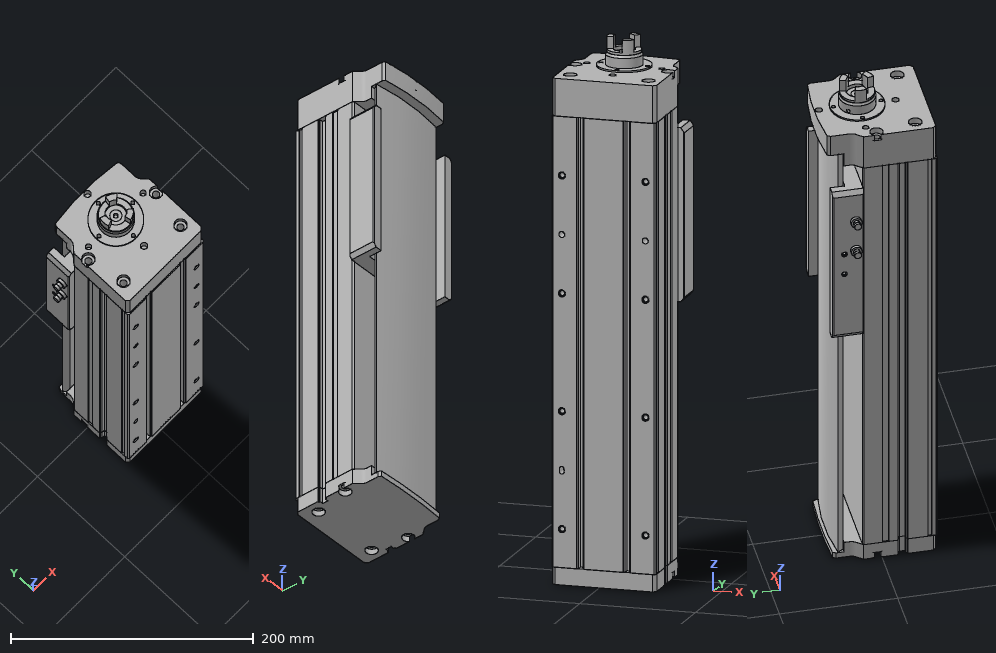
import cadquery as cq
import math


end_cap_height = 15.0
profile_top = 399.0
drive_cap_top = 431.0
strip_bottom = 5.5
strip_top = 411.0

body_width = 90.0
half_width = body_width / 2
profile_depth = 63.5
profile_chamfer = 1.5
side_slot_y = 29.0
bottom_slot_x = 20.0
side_groove_y = (43.8, 6.5)
side_groove_widths = (5.5, 3.0)
side_groove_depth = 1.5
mount_pitch = 50.0
mount_first_z = 48.0
mount_x = 36.0
mount_depth = 11.5
mount_steps = (0, 2, 4, 6)
dowel_step = 5
dowel_slot_step = 1
dowel_diameter = 5.0

cap_back = 1.0
cap_chamfer = 2.7
neck_half_width = 38.5
neck_start_y = 72.5
neck_bevel_x = 1.5
neck_bevel_y = 2.7
shoulder_foot_y = 62.5
shoulder_x = 41.0
shoulder_y = 67.0
shoulder_curve_x = 39.0
shoulder_curve_y = 69.5
strip_seat_y = 77.5
drive_cap_edge_y = 91.5
drive_cap_crown_y = 94.5
end_cap_edge_y = 87.0
end_cap_crown_y = 88.5
screw_head_diameter = 11.0
screw_head_depth = 5.5
screw_diameter = 6.0
screw_places = [(-40.0, 50.5), (40.0, 50.5), (-33.7, 16.5), (33.7, 16.5)]

axis_y = 58.0
flange_diameter = 46.0
flange_height = 1.5
flange_hole_diameter = 3.25
flange_hole_radius = 20.0
cap_hole_radius = 32.5
cap_hole_depth = 9.0
upright_hole_diameter = 6.0
level_hole_diameter = 5.0

hub_bottom = drive_cap_top + flange_height
hub_radius = 15.5
hub_neck_radius = 14.0
hub_shoulder_z = 441.0
hub_cone_top = 443.0
hub_top = 445.5
hub_recess_radius = 9.0
hub_recess_floor = 442.0
jaw_top = 456.0
jaw_outer_radius = 14.5
jaw_half_angle = 20
gap_directions = (0, 120, 240)
clamp_hole_diameter = 2.45
clamp_hole_y = axis_y + 10.0
clamp_hole_z = 434.5
clamp_hole_depth = 7.0
shaft_diameter = 10.0
shaft_center_diameter = 4.0
shaft_center_depth = 4.5

strip_half_width = 38.0
strip_bevel = 3.5
strip_base_y = strip_seat_y
strip_edge_y = 82.5
strip_crown_y = 85.5

carriage_half_width = 50.0
carriage_top_y = 90.0
carriage_bottom = 232.0
carriage_top = 380.0
carriage_floor_y = strip_seat_y
carriage_channel_half_width = 40.5
carriage_edge_chamfer = 1.0
carriage_end_bevel_x = 3.0
carriage_end_bevel_z = 4.0
nipple_y = 70.0
nipple_heights = (320.5, 349.5)
nipple_collar_diameter = 9.0
nipple_collar_length = 2.7
nipple_tip_diameter = 6.0
nipple_tip_length = 2.7
nipple_neck_diameter = 5.5
nipple_end = 58.5
carriage_hole_y = 80.0
carriage_hole_heights = (297.2, 317.5)
carriage_hole_diameter = 2.45
carriage_hole_depth = 7.0
carriage_hole_mouth_diameter = 4.5
carriage_hole_mouth_depth = 1.5


def block(x0, x1, y0, y1, z0, z1):
    """Axis-aligned box between two opposite corners."""
    return cq.Workplane("XY").box(x1 - x0, y1 - y0, z1 - z0, centered=False).translate((x0, y0, z0))


def upright(x, y, z, diameter, height):
    """Cylinder rising along +Z from the given point."""
    return cq.Workplane("XY", origin=(x, y, z)).circle(diameter / 2).extrude(height)


def inward(x, z, diameter, depth):
    """Cylinder running from the mounting face into the part along +Y."""
    return cq.Workplane("XZ", origin=(x, 0, z)).circle(diameter / 2).extrude(-depth)


def from_left(x, y, z, diameter, length):
    """Cylinder running along +X from the given point."""
    return cq.Workplane("YZ", origin=(x, y, z)).circle(diameter / 2).extrude(length)


def side_slot(side, z0, z1):
    """Stepped fixing slot in one side face: wide shallow mouth, narrow deep channel."""
    mouth_half, mouth_depth = 4.0, 1.5
    channel_half, channel_depth = 2.7, 4.5
    mouth_x = sorted((side * half_width, side * (half_width - mouth_depth)))
    channel_x = sorted((side * half_width, side * (half_width - channel_depth)))
    mouth = block(*mouth_x, side_slot_y - mouth_half, side_slot_y + mouth_half, z0, z1)
    channel = block(*channel_x, side_slot_y - channel_half, side_slot_y + channel_half, z0, z1)
    return mouth.union(channel)


def bottom_slot(x):
    """Stepped fixing slot in the mounting face."""
    mouth_half, mouth_depth = 3.0, 1.5
    channel_half, channel_depth = 2.0, 7.0
    mouth = block(x - mouth_half, x + mouth_half, 0, mouth_depth, end_cap_height, profile_top)
    channel = block(x - channel_half, x + channel_half, 0, channel_depth, end_cap_height, profile_top)
    return mouth.union(channel)


def mounting_hole(x, z):
    """Counterbored fixing hole in the mounting face."""
    mouth_diameter, mouth_depth, hole_diameter = 6.0, 2.0, 4.15
    return inward(x, z, mouth_diameter, mouth_depth).union(inward(x, z, hole_diameter, mount_depth))


def make_profile():
    body = block(-half_width, half_width, 0, profile_depth, end_cap_height, profile_top)
    body = body.edges("|Z").chamfer(profile_chamfer)
    for side in (-1, 1):
        body = body.cut(side_slot(side, end_cap_height, profile_top))
        body = body.cut(bottom_slot(side * bottom_slot_x))
        for y, width in zip(side_groove_y, side_groove_widths):
            x0, x1 = sorted((side * half_width, side * (half_width - side_groove_depth)))
            body = body.cut(block(x0, x1, y - width / 2, y + width / 2, end_cap_height, profile_top))
        for step in mount_steps:
            body = body.cut(mounting_hole(side * mount_x, mount_first_z + step * mount_pitch))
        dowel_z = mount_first_z + dowel_step * mount_pitch
        body = body.cut(inward(side * mount_x, dowel_z, dowel_diameter, mount_depth))
    slot_length, slot_width = 6.5, 4.15
    slot_z = mount_first_z + dowel_slot_step * mount_pitch
    slot = cq.Workplane("XZ", origin=(-mount_x, 0, slot_z)).slot2D(slot_length, slot_width, 90)
    return body.cut(slot.extrude(-mount_depth))


def cap_blank(z0, z1, edge_y, crown_y):
    """End cap section: chamfered rectangle, curved shoulders, and an arched neck towards +Y."""
    crown_x = neck_half_width - neck_bevel_x
    side_y = edge_y - neck_bevel_y
    section = (
        cq.Workplane("XY", origin=(0, 0, z0))
        .moveTo(-half_width + cap_chamfer, cap_back)
        .lineTo(half_width - cap_chamfer, cap_back)
        .lineTo(half_width, cap_back + cap_chamfer)
        .lineTo(half_width, shoulder_foot_y)
        .lineTo(shoulder_x, shoulder_y)
        .threePointArc((shoulder_curve_x, shoulder_curve_y), (neck_half_width, neck_start_y))
        .lineTo(neck_half_width, side_y)
        .lineTo(crown_x, edge_y)
        .threePointArc((0, crown_y), (-crown_x, edge_y))
        .lineTo(-neck_half_width, side_y)
        .lineTo(-neck_half_width, neck_start_y)
        .threePointArc((-shoulder_curve_x, shoulder_curve_y), (-shoulder_x, shoulder_y))
        .lineTo(-half_width, shoulder_foot_y)
        .lineTo(-half_width, cap_back + cap_chamfer)
        .close()
    )
    return section.extrude(z1 - z0)


def strip_seat(z0, z1):
    """Clearance that lets the cover strip end inside a cap."""
    return block(-half_width, half_width, strip_seat_y, drive_cap_crown_y, z0, z1)


def make_end_cap():
    cap = cap_blank(0, end_cap_height, end_cap_edge_y, end_cap_crown_y)
    cap = cap.cut(strip_seat(strip_bottom, end_cap_height))
    for side in (-1, 1):
        cap = cap.cut(side_slot(side, 0, end_cap_height))
    for x, y in screw_places:
        cap = cap.cut(upright(x, y, 0, screw_head_diameter, screw_head_depth))
        cap = cap.cut(upright(x, y, 0, screw_diameter, end_cap_height))
    return cap


def make_drive_cap():
    cap = cap_blank(profile_top, drive_cap_top, drive_cap_edge_y, drive_cap_crown_y)
    cap = cap.cut(strip_seat(profile_top, strip_top))
    cap = cap.union(upright(0, axis_y, drive_cap_top, flange_diameter, flange_height))
    cap_height = drive_cap_top - profile_top
    for x, y in screw_places:
        cap = cap.cut(upright(x, y, drive_cap_top - screw_head_depth, screw_head_diameter, screw_head_depth))
        cap = cap.cut(upright(x, y, profile_top, screw_diameter, cap_height))
    for quarter in range(4):
        angle = math.radians(90 * quarter)
        dx, dy = math.cos(angle), math.sin(angle)
        diameter = upright_hole_diameter if quarter % 2 else level_hole_diameter
        outer_place = (cap_hole_radius * dx, axis_y + cap_hole_radius * dy)
        cap = cap.cut(upright(*outer_place, drive_cap_top - cap_hole_depth, diameter, cap_hole_depth))
        flange_place = (flange_hole_radius * dx, axis_y + flange_hole_radius * dy)
        flange_floor = hub_bottom - cap_hole_depth
        cap = cap.cut(upright(*flange_place, flange_floor, flange_hole_diameter, cap_hole_depth))
    return cap.cut(upright(0, axis_y, profile_top, shaft_diameter, hub_bottom - profile_top))


def make_shaft():
    """Drive journal from the profile end up to the recess of the coupling, with a centre hole in its end."""
    shaft = upright(0, axis_y, profile_top, shaft_diameter, hub_recess_floor - profile_top)
    center_z = hub_recess_floor - shaft_center_depth
    return shaft.cut(upright(0, axis_y, center_z, shaft_center_diameter, shaft_center_depth))


def jaw_gap(direction):
    """Wedge with its apex on the axis that clears the space between two jaws."""
    half_angle = 180 / len(gap_directions) - jaw_half_angle
    reach = 2 * jaw_outer_radius
    corners = [(0, 0)]
    for offset in (-half_angle, half_angle):
        angle = math.radians(direction + offset)
        corners.append((reach * math.cos(angle), reach * math.sin(angle)))
    wedge = cq.Workplane("XY", origin=(0, axis_y, hub_top)).polyline(corners).close()
    return wedge.extrude(jaw_top - hub_top)


def make_coupling():
    bore_radius = shaft_diameter / 2
    half_section = [
        (bore_radius, hub_bottom),
        (hub_radius, hub_bottom),
        (hub_radius, hub_shoulder_z),
        (hub_neck_radius, hub_cone_top),
        (jaw_outer_radius, hub_cone_top),
        (jaw_outer_radius, jaw_top),
        (hub_recess_radius, jaw_top),
        (hub_recess_radius, hub_recess_floor),
        (bore_radius, hub_recess_floor),
    ]
    hub = cq.Workplane("XZ").polyline(half_section).close().revolve(360, (0, 0, 0), (0, 1, 0))
    hub = hub.translate((0, axis_y, 0))
    for direction in gap_directions:
        hub = hub.cut(jaw_gap(direction))
    clamp_hole = from_left(-hub_radius, clamp_hole_y, clamp_hole_z, clamp_hole_diameter, clamp_hole_depth)
    return hub.cut(clamp_hole)


def make_strip():
    """Cover strip with undercut long edges and a gently arched outer face."""
    base_x = strip_half_width - strip_bevel
    section = (
        cq.Workplane("XY", origin=(0, 0, strip_bottom))
        .moveTo(-base_x, strip_base_y)
        .lineTo(base_x, strip_base_y)
        .lineTo(strip_half_width, strip_edge_y)
        .threePointArc((0, strip_crown_y), (-strip_half_width, strip_edge_y))
        .close()
    )
    return section.extrude(strip_top - strip_bottom)


def lubrication_nipple(z):
    """Stepped nipple standing out of the -X wing."""
    collar_x = -carriage_half_width - nipple_collar_length
    neck_length = nipple_end - carriage_half_width
    collar = from_left(collar_x, nipple_y, z, nipple_collar_diameter, nipple_collar_length)
    neck = from_left(-nipple_end, nipple_y, z, nipple_neck_diameter, neck_length)
    tip = from_left(-nipple_end, nipple_y, z, nipple_tip_diameter, nipple_tip_length)
    return collar.union(neck).union(tip)


def make_carriage():
    """Channel-shaped carriage lying on the profile, the cover strip running through its channel."""
    length = carriage_top - carriage_bottom
    width = 2 * carriage_half_width
    depth = carriage_top_y - profile_depth
    middle_y = (carriage_top_y + profile_depth) / 2
    middle_z = (carriage_top + carriage_bottom) / 2
    body = cq.Workplane("XY").box(width, depth, length).edges("|Z").chamfer(carriage_edge_chamfer)
    bevelled_end_x = carriage_half_width - carriage_end_bevel_x
    bevelled_side_z = length / 2 - carriage_end_bevel_z
    outline = [
        (-bevelled_end_x, -length / 2),
        (bevelled_end_x, -length / 2),
        (carriage_half_width, -bevelled_side_z),
        (carriage_half_width, bevelled_side_z),
        (bevelled_end_x, length / 2),
        (-bevelled_end_x, length / 2),
        (-carriage_half_width, bevelled_side_z),
        (-carriage_half_width, -bevelled_side_z),
    ]
    bevels = cq.Workplane("XZ").polyline(outline).close().extrude(depth / 2, both=True)
    body = body.intersect(bevels).translate((0, middle_y, middle_z))
    channel_x = carriage_channel_half_width
    body = body.cut(
        block(-channel_x, channel_x, carriage_floor_y, carriage_top_y, carriage_bottom, carriage_top)
    )
    for z in carriage_hole_heights:
        place = (-carriage_half_width, carriage_hole_y, z)
        body = body.cut(from_left(*place, carriage_hole_mouth_diameter, carriage_hole_mouth_depth))
        body = body.cut(from_left(*place, carriage_hole_diameter, carriage_hole_depth))
    for z in nipple_heights:
        body = body.union(lubrication_nipple(z))
    return body


profile = make_profile()
end_cap = make_end_cap()
drive_cap = make_drive_cap()
shaft = make_shaft()
coupling = make_coupling()
strip = make_strip()
carriage = make_carriage()

bodies = [profile, end_cap, drive_cap, shaft, coupling, strip, carriage]
result = cq.Compound.makeCompound([body.solids().val() for body in bodies])